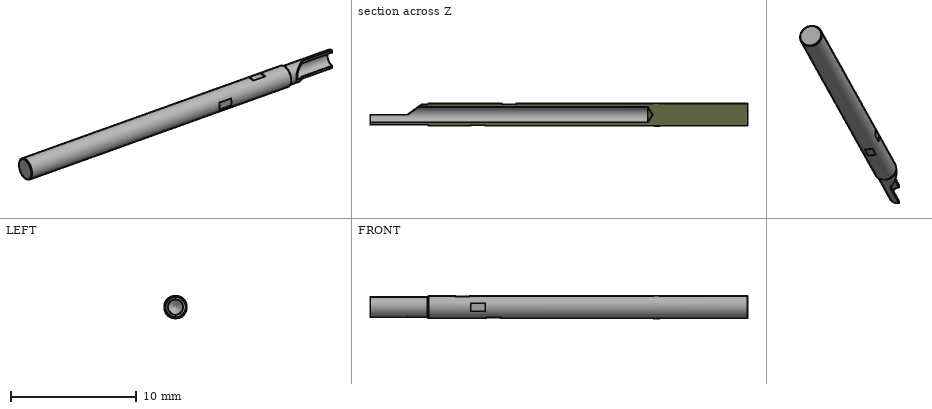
import cadquery as cq
import math

length = 30.23
body_radius = 0.9
tip_radius = 0.82
tip_length = 4.7
step_chamfer = body_radius - tip_radius
rear_chamfer = 0.05

collar_start = 22.58
collar_end = 23.22
collar_radius = 0.922

bore_radius = 0.6
bore_depth = collar_start
drill_point_angle = 118.0

ramp_start = 3.0
ramp_end = 4.15

flat_count = 4
flat_length = 1.15
flat_width = 0.63
first_flat_center = 7.4
flat_pitch = 1.25


def make_outside():
    """Revolve the stepped outer profile about X."""
    collar_middle = (collar_start + collar_end) / 2
    profile = (
        cq.Workplane("XY")
        .lineTo(0, tip_radius)
        .lineTo(tip_length - step_chamfer, tip_radius)
        .lineTo(tip_length, body_radius)
        .lineTo(collar_start, body_radius)
        .threePointArc((collar_middle, collar_radius), (collar_end, body_radius))
        .lineTo(length - rear_chamfer, body_radius)
        .lineTo(length, body_radius - rear_chamfer)
        .lineTo(length, 0)
        .close()
    )
    return profile.revolve(360, (0, 0, 0), (1, 0, 0))


def make_bore():
    """Round bore with a conical drill point at its closed end."""
    point_length = bore_radius / math.tan(math.radians(drill_point_angle / 2))
    profile = (
        cq.Workplane("XY")
        .lineTo(0, bore_radius)
        .lineTo(bore_depth - point_length, bore_radius)
        .lineTo(bore_depth, 0)
        .close()
    )
    return profile.revolve(360, (0, 0, 0), (1, 0, 0))


def make_tip_relief():
    """Block that removes the +Y half of the tip, with a sloping end."""
    return (
        cq.Workplane("XY")
        .polyline([(0, 0), (ramp_start, 0), (ramp_end, tip_radius), (0, tip_radius)])
        .close()
        .extrude(body_radius, both=True)
    )


def make_flat_cutter(index):
    """Box that planes one flat; each is a quarter turn past the one before."""
    flat_height = math.sqrt(body_radius**2 - (flat_width / 2) ** 2)
    center = first_flat_center + index * flat_pitch
    return (
        cq.Workplane("XY")
        .box(flat_length, 2 * body_radius, body_radius, centered=(True, True, False))
        .translate((center, 0, flat_height))
        .rotate((0, 0, 0), (1, 0, 0), index * 90)
    )


result = make_outside().cut(make_bore()).cut(make_tip_relief())
for flat_index in range(flat_count):
    result = result.cut(make_flat_cutter(flat_index))